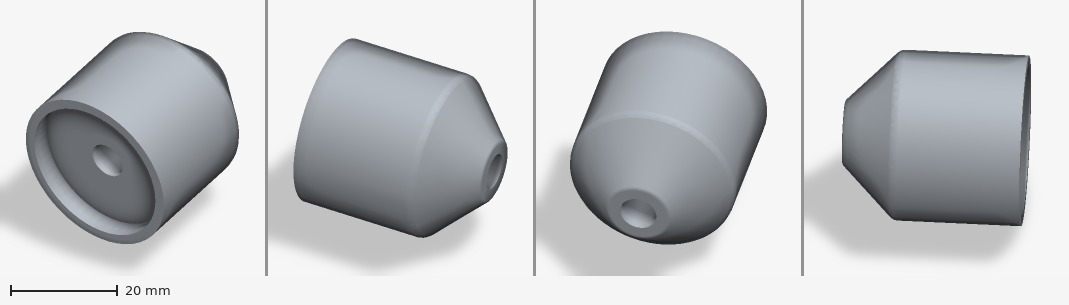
import cadquery as cq

length = 34.0
outer_diameter = 32.0

cone_start = 24.0
nose_diameter = 12.0
shoulder_radius = 2.0
nose_edge_radius = 1.0

recess_diameter = 28.0
recess_depth = 4.0
hole_diameter = 7.0


def turned_body():
    """Cylinder and cone revolved about Y, with both nose edges rounded."""
    outer_radius = outer_diameter / 2
    body = (
        cq.Workplane("XY")
        .moveTo(0, 0)
        .lineTo(outer_radius, 0)
        .lineTo(outer_radius, cone_start)
        .lineTo(nose_diameter / 2, length)
        .lineTo(0, length)
        .close()
        .revolve(360, (0, 0, 0), (0, 1, 0))
    )
    body = body.edges(cq.selectors.NearestToPointSelector((0, cone_start, 0))).fillet(shoulder_radius)
    return body.faces(">Y").edges().fillet(nose_edge_radius)


def bore(diameter, depth):
    """Round cutter running along +Y from the open end."""
    return cq.Workplane("XZ").circle(diameter / 2).extrude(-depth)


recess = bore(recess_diameter, recess_depth)
through_hole = bore(hole_diameter, length)
result = turned_body().cut(recess).cut(through_hole)